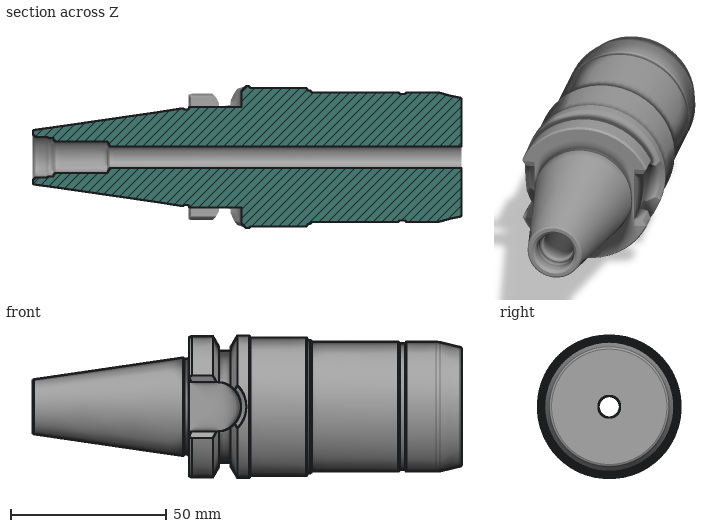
import cadquery as cq
import math

total_length = 138.4

taper_length = 48.4
gauge_radius = 31.75 / 2
taper_slope = 7 / 48
taper_tip_chamfer = 0.4

flange_front_x = taper_length + 2.0
neck_radius = 15.5
neck_bevel_length = 0.5
neck_fillet = 0.5

collar_radius = 22.8
collar_front_chamfer_length = 1.0
collar_front_chamfer_depth = 0.4

groove_center_x = flange_front_x + 11.6
groove_floor_width = 3.7
groove_floor_radius = 18.1
groove_bottom_radius = 19.2
groove_flank_angle = 60.0
rim_radius = 23.0
rim_end_x = 70.2
rim_end_bevel = 0.4

body_radius = 22.4
body_end_x = 88.65
body_end_chamfer = 0.5
shoulder_radius = 21.6
shoulder_end_x = 89.4

nut_radius = 21.0
nut_bevel_end_x = 90.1
ring_groove_center_x = 119.25
ring_groove_width = 2.7
ring_groove_depth = 0.5
ring_groove_bevel = 0.5
nose_start_x = 130.7
nose_angle = 13.5
nose_blend = 0.65
nose_fillet = 0.7

slot_floor_y = 16.3
slot_half_width = 8.05
slot_arc_center_x = 59.15
slot_mouth_half_width = 9.8
slot_mouth_length = 0.7
slot_rim_chamfer = 1.7
slot_flare_start_y = 19.2
slot_flare_angle = 60.0

pilot_radius = 6.4
pilot_end_x = 4.6
pilot_chamfer = 0.9
relief_radius = 6.1
relief_start_x = 5.4
relief_end_x = 6.6
countersink_radius = 5.8
thread_radius = 5.0
thread_end_x = 24.0
drill_tip_angle = 60.0
through_radius = 3.45


def make_body():
    """Turned outer shape, revolved about the X axis."""
    def taper_radius(x):
        return gauge_radius - (taper_length - x) * taper_slope

    flank_slope = math.tan(math.radians(groove_flank_angle))
    floor_start_x = groove_center_x - groove_floor_width / 2
    floor_end_x = groove_center_x + groove_floor_width / 2
    collar_end_x = floor_start_x - (collar_radius - groove_bottom_radius) / flank_slope
    rim_start_x = floor_end_x + (rim_radius - groove_bottom_radius) / flank_slope

    ring_start_x = ring_groove_center_x - ring_groove_width / 2
    ring_end_x = ring_groove_center_x + ring_groove_width / 2
    ring_floor_radius = nut_radius - ring_groove_depth

    nose_slope = math.tan(math.radians(nose_angle))

    def nose_radius(x):
        return nut_radius - (x - nose_start_x) * nose_slope

    nose_blend_end_x = nose_start_x + nose_blend
    nose_fillet_x = total_length - nose_fillet
    end_face_radius = nose_radius(nose_fillet_x) - nose_fillet

    profile = (
        cq.Workplane("XZ")
        .moveTo(0, 0)
        .lineTo(0, taper_radius(0) - taper_tip_chamfer)
        .lineTo(taper_tip_chamfer, taper_radius(taper_tip_chamfer))
        .lineTo(taper_length, gauge_radius)
        .lineTo(taper_length + neck_bevel_length, neck_radius)
        .lineTo(flange_front_x - neck_fillet, neck_radius)
        .radiusArc((flange_front_x, neck_radius + neck_fillet), -neck_fillet)
        .lineTo(flange_front_x, collar_radius - collar_front_chamfer_depth)
        .lineTo(flange_front_x + collar_front_chamfer_length, collar_radius)
        .lineTo(collar_end_x, collar_radius)
        .lineTo(floor_start_x, groove_bottom_radius)
        .lineTo(floor_start_x, groove_floor_radius)
        .lineTo(floor_end_x, groove_floor_radius)
        .lineTo(floor_end_x, groove_bottom_radius)
        .lineTo(rim_start_x, rim_radius)
        .lineTo(rim_end_x - rim_end_bevel, rim_radius)
        .lineTo(rim_end_x, body_radius)
        .lineTo(body_end_x - body_end_chamfer, body_radius)
        .lineTo(body_end_x, body_radius - body_end_chamfer)
        .lineTo(body_end_x, shoulder_radius)
        .lineTo(shoulder_end_x, shoulder_radius)
        .lineTo(nut_bevel_end_x, nut_radius)
        .lineTo(ring_start_x, nut_radius)
        .lineTo(ring_start_x + ring_groove_bevel, ring_floor_radius)
        .lineTo(ring_end_x - ring_groove_bevel, ring_floor_radius)
        .lineTo(ring_end_x, nut_radius)
        .lineTo(nose_start_x - nose_blend, nut_radius)
        .tangentArcPoint((nose_blend_end_x, nose_radius(nose_blend_end_x)), relative=False)
        .lineTo(nose_fillet_x, nose_radius(nose_fillet_x))
        .radiusArc((total_length, end_face_radius), nose_fillet)
        .lineTo(total_length, 0)
        .close()
    )
    return profile.revolve(360, (0, 0, 0), (1, 0, 0))


def make_slot(side):
    """Cutter for one drive slot; side is -1 for -Y and +1 for +Y."""
    mouth_inner_x = flange_front_x + slot_mouth_length
    outline = (
        cq.Workplane("XZ")
        .moveTo(flange_front_x, -slot_mouth_half_width)
        .lineTo(mouth_inner_x, -slot_half_width)
        .lineTo(slot_arc_center_x, -slot_half_width)
        .threePointArc(
            (slot_arc_center_x + slot_half_width, 0),
            (slot_arc_center_x, slot_half_width),
        )
        .lineTo(mouth_inner_x, slot_half_width)
        .lineTo(flange_front_x, slot_mouth_half_width)
        .close()
    )
    slot = outline.extrude(-rim_radius).translate((0, slot_floor_y, 0))
    if side < 0:
        slot = slot.mirror("XZ")
    return slot


def make_slot_flare(side):
    """Wedge cutter that bevels the outer edges of both slot walls across the collar."""
    flare_height = rim_radius - slot_flare_start_y
    outer_half_width = slot_half_width + flare_height * math.tan(math.radians(slot_flare_angle))
    return (
        cq.Workplane("YZ", origin=(flange_front_x, 0, 0))
        .moveTo(side * slot_flare_start_y, -slot_half_width)
        .lineTo(side * rim_radius, -outer_half_width)
        .lineTo(side * rim_radius, outer_half_width)
        .lineTo(side * slot_flare_start_y, slot_half_width)
        .close()
        .extrude(slot_arc_center_x - flange_front_x)
    )


def chamfer_slot_ends(part):
    """Chamfer the arcs where the round slot ends break out through the rim cylinder."""
    slot_end_x = slot_arc_center_x + slot_half_width

    def is_rim_arc(edge):
        center = edge.Center()
        crosses_mid_plane = edge.BoundingBox().zmin < 0 < edge.BoundingBox().zmax
        beyond_floor = abs(center.y) > groove_bottom_radius
        return crosses_mid_plane and beyond_floor and groove_center_x < center.x < slot_end_x

    return part.edges().filter(is_rim_arc).chamfer(slot_rim_chamfer)


def make_bore():
    """Stepped drawbar bore with a 45 degree thread countersink, revolved about the X axis."""
    countersink_end_x = relief_end_x + countersink_radius - thread_radius
    drill_tip_depth = (thread_radius - through_radius) / math.tan(math.radians(drill_tip_angle))
    return (
        cq.Workplane("XZ")
        .moveTo(0, 0)
        .lineTo(0, pilot_radius + pilot_chamfer)
        .lineTo(pilot_chamfer, pilot_radius)
        .lineTo(pilot_end_x, pilot_radius)
        .lineTo(relief_start_x, relief_radius)
        .lineTo(relief_end_x, relief_radius)
        .lineTo(relief_end_x, countersink_radius)
        .lineTo(countersink_end_x, thread_radius)
        .lineTo(thread_end_x, thread_radius)
        .lineTo(thread_end_x + drill_tip_depth, through_radius)
        .lineTo(total_length, through_radius)
        .lineTo(total_length, 0)
        .close()
        .revolve(360, (0, 0, 0), (1, 0, 0))
    )


result = make_body()
for side in (-1, 1):
    result = result.cut(make_slot(side))
result = chamfer_slot_ends(result)
for side in (-1, 1):
    result = result.cut(make_slot_flare(side))
result = result.cut(make_bore())